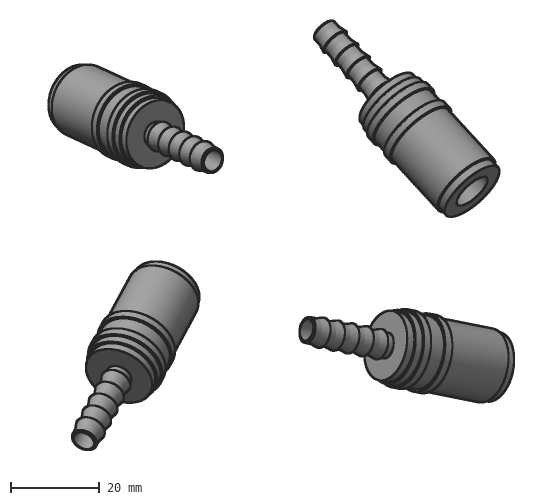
import cadquery as cq

total_length = 53.0

sleeve_length = 30.5
sleeve_diameter = 17.0
end_diameter = 16.0
end_length = 2.0
collar_diameter = 18.0
collar_width = 2.0
front_collar_start = 18.4
rear_collar_start = sleeve_length - 2 * end_length - collar_width

stem_diameter = 6.0
tip_chamfer = 0.25
barb_diameter = 7.0
barb_length = 2.0
barb_count = 5
barb_row_length = 16.45
barb_pitch = barb_row_length / (barb_count - 1)
barb_setback = 1.95
first_barb_start = sleeve_length + barb_setback

passage_diameter = 5.0
socket_diameter = 9.0
socket_depth = front_collar_start + collar_width


def cylinder(start, length, diameter):
    """Solid cylinder along +X, beginning at X = start."""
    return cq.Workplane("YZ", origin=(start, 0, 0)).circle(diameter / 2).extrude(length)


def barb(start):
    """Conical ring that tapers down to the stem toward +X."""
    profile = [
        (start, 0),
        (start, barb_diameter / 2),
        (start + barb_length, stem_diameter / 2),
        (start + barb_length, 0),
    ]
    return cq.Workplane("XY").polyline(profile).close().revolve(360, (0, 0, 0), (1, 0, 0))


def make_sleeve():
    core = cylinder(0, sleeve_length, end_diameter)
    shell = cylinder(end_length, sleeve_length - 2 * end_length, sleeve_diameter)
    sleeve = core.union(shell)
    for start in (front_collar_start, rear_collar_start):
        sleeve = sleeve.union(cylinder(start, collar_width, collar_diameter))
    return sleeve


def make_stem():
    stem = cylinder(sleeve_length, total_length - sleeve_length, stem_diameter)
    stem = stem.faces(">X").chamfer(tip_chamfer)
    for index in range(barb_count):
        stem = stem.union(barb(first_barb_start + index * barb_pitch))
    return stem


passage = cylinder(0, total_length, passage_diameter)
socket = cylinder(0, socket_depth, socket_diameter)

result = make_sleeve().union(make_stem()).cut(passage).cut(socket)